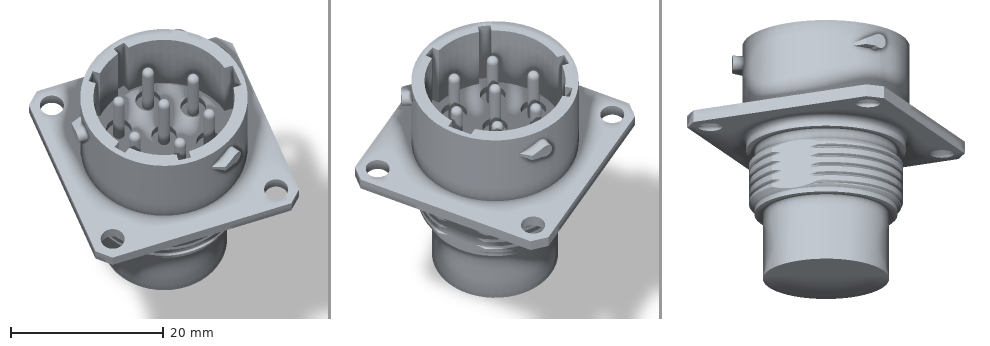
import cadquery as cq
import math

total_height = 32.2
flange_top = 20.83
flange_bottom = 19.2
collar_bottom = 17.7
thread_top = 16.45
thread_bottom = 9.63
ring_bottom = 8.95

shell_radius = 11.0
collar_radius = 10.5
collar_fillet = 0.65
neck_radius = 9.45
thread_radius = 10.15
tail_radius = 8.3

flange_side = 28.55
flange_corner_chamfer = 1.75
flange_hole_diameter = 3.15
flange_hole_spacing = 22.93

thread_turns = 6
thread_length = 7.63
thread_pitch = thread_length / thread_turns
groove_start = 9.25
groove_root_radius = 9.8
groove_root_width = 0.15
groove_mouth_width = 0.55
groove_overshoot = 0.15
flat_distance = 9.55

bore_radius = 9.27
socket_floor = 22.4
insert_top = 23.5
keyway_reach = 10.25
master_key_angle = 90.0
master_key_width = 3.35
small_key_angles = [195.0, 230.0, 305.0, 355.0]
small_key_width = 1.67

pin_radius = 0.77
centre_pin_tip = 31.33
outer_pin_tip = 30.5
pin_pocket_radius = 1.67
pin_circle_radius = 6.02
outer_pin_count = 6

lug_angles = [30.0, 150.0, 270.0]
lug_height = 29.6
lug_head_radius = 0.95
lug_outer_radius = 12.35
lug_inner_radius = 10.3
lug_tail_length = 2.93
lug_tail_below = 0.77
lug_tail_above = 0.35
lug_end_radius = 10.7
lug_end_slope = 60.0


def disc(radius, bottom, top):
    """Solid cylinder on the Z axis between two heights."""
    return cq.Workplane("XY").workplane(offset=bottom).circle(radius).extrude(top - bottom)


def make_turned_body():
    """Revolved outside, from the plain tail up to the rim of the shell."""
    thread_chamfer = thread_radius - neck_radius
    profile = (
        cq.Workplane("XZ")
        .lineTo(tail_radius, 0)
        .lineTo(tail_radius, ring_bottom)
        .lineTo(neck_radius, ring_bottom)
        .lineTo(neck_radius, thread_bottom)
        .lineTo(thread_radius, thread_bottom + thread_chamfer)
        .lineTo(thread_radius, thread_top - thread_chamfer)
        .lineTo(neck_radius, thread_top)
        .lineTo(neck_radius, collar_bottom)
        .lineTo(collar_radius, collar_bottom)
        .lineTo(collar_radius, flange_bottom - collar_fillet)
        .radiusArc((collar_radius + collar_fillet, flange_bottom), collar_fillet)
        .lineTo(collar_radius + collar_fillet, flange_top)
        .lineTo(shell_radius, flange_top)
        .lineTo(shell_radius, total_height)
        .lineTo(0, total_height)
        .close()
    )
    return profile.revolve(360, (0, 0, 0), (0, 1, 0)).rotate((0, 0, 0), (0, 0, 1), -90)


def make_flange():
    """Square mounting plate with cut corners and four holes."""
    return (
        cq.Workplane("XY")
        .workplane(offset=flange_bottom)
        .rect(flange_side, flange_side)
        .extrude(flange_top - flange_bottom)
        .edges("|Z")
        .chamfer(flange_corner_chamfer)
        .faces(">Z")
        .workplane()
        .rect(flange_hole_spacing, flange_hole_spacing, forConstruction=True)
        .vertices()
        .hole(flange_hole_diameter)
    )


def make_half_turn():
    """Half a turn of right-handed groove, running from -Y to +Y around the +X side."""
    depth = thread_radius - groove_root_radius
    flank_run = (groove_mouth_width - groove_root_width) / 2
    cut_radius = thread_radius + groove_overshoot
    cut_half_width = groove_mouth_width / 2 + flank_run * groove_overshoot / depth
    root_half_width = groove_root_width / 2
    helix = cq.Wire.makeHelix(thread_pitch, thread_pitch / 2, groove_root_radius)
    half_turn = (
        cq.Workplane("XZ")
        .moveTo(groove_root_radius, -root_half_width)
        .lineTo(cut_radius, -cut_half_width)
        .lineTo(cut_radius, cut_half_width)
        .lineTo(groove_root_radius, root_half_width)
        .close()
        .sweep(cq.Workplane(helix), isFrenet=True)
    )
    return half_turn.rotate((0, 0, 0), (0, 0, 1), -90)


def cut_thread_groove(body):
    """Cut the groove one half turn at a time; the halves meet in the open air over the flats."""
    half_turn = make_half_turn()
    for index in range(2 * thread_turns):
        height = groove_start + index * thread_pitch / 2
        body = body.cut(half_turn.rotate((0, 0, 0), (0, 0, 1), 180 * index).translate((0, 0, height)))
    return body


def make_thread_flats():
    """Two blocks that trim the thread flat on its -Y and +Y sides."""
    depth = thread_radius - flat_distance
    width = 2 * thread_radius
    blocks = cq.Workplane("XY")
    for side in (-1, 1):
        block = cq.Workplane("XY").box(width, depth, thread_top - thread_bottom)
        middle_y = side * (flat_distance + depth / 2)
        blocks = blocks.add(block.translate((0, middle_y, (thread_top + thread_bottom) / 2)))
    return blocks.combine()


def make_keyway(angle, width):
    """Square-sided slot in the bore wall, centred on the given angle."""
    return (
        cq.Workplane("XY")
        .workplane(offset=socket_floor)
        .center(keyway_reach / 2, 0)
        .rect(keyway_reach, width)
        .extrude(total_height - socket_floor)
        .rotate((0, 0, 0), (0, 0, 1), angle)
    )


def make_socket():
    """Open space of the socket: the bore with all its keyways, down to the floor."""
    socket = disc(bore_radius, socket_floor, total_height)
    socket = socket.union(make_keyway(master_key_angle, master_key_width))
    for angle in small_key_angles:
        socket = socket.union(make_keyway(angle, small_key_width))
    return socket


def make_pin(tip):
    """Contact pin on the Z axis with a hemispherical end at the tip height."""
    return (
        cq.Workplane("XZ")
        .moveTo(0, socket_floor)
        .lineTo(pin_radius, socket_floor)
        .lineTo(pin_radius, tip - pin_radius)
        .radiusArc((0, tip), -pin_radius)
        .close()
        .revolve(360, (0, 0, 0), (0, 1, 0))
    )


def make_insert():
    """Raised insert with a pocket and a round-ended pin at each contact; the centre pin is longer."""
    pocket = disc(pin_pocket_radius, socket_floor, insert_top)
    outer_pin = make_pin(outer_pin_tip)
    insert = disc(tail_radius, socket_floor, insert_top)
    insert = insert.cut(pocket).union(make_pin(centre_pin_tip))
    for index in range(outer_pin_count):
        angle = 2 * math.pi * index / outer_pin_count
        place = (pin_circle_radius * math.cos(angle), pin_circle_radius * math.sin(angle), 0)
        insert = insert.cut(pocket.translate(place)).union(outer_pin.translate(place))
    return insert


def make_lug():
    """Teardrop lug on the -Y side: round head, tail toward -X with a sloping end."""
    tip_distance = math.hypot(lug_tail_length, lug_tail_above)
    tip_direction = math.pi + math.atan2(lug_tail_above, lug_tail_length)
    touch_angle = tip_direction - math.acos(lug_head_radius / tip_distance)
    touch = (lug_head_radius * math.cos(touch_angle), lug_head_radius * math.sin(touch_angle))
    tail_meets_head = -math.sqrt(lug_head_radius**2 - lug_tail_below**2)
    teardrop = (
        cq.Workplane("XZ")
        .moveTo(tail_meets_head, -lug_tail_below)
        .lineTo(-lug_tail_length, -lug_tail_below)
        .lineTo(-lug_tail_length, -lug_tail_above)
        .lineTo(*touch)
        .threePointArc((lug_head_radius, 0), (tail_meets_head, -lug_tail_below))
        .close()
        .extrude(lug_outer_radius)
        .translate((0, 0, lug_height))
    )
    lug_bottom = lug_height - lug_head_radius
    lug_top = lug_height + lug_head_radius
    shell = disc(lug_outer_radius, lug_bottom, lug_top).cut(disc(lug_inner_radius, lug_bottom, lug_top))
    end_rise = lug_outer_radius - lug_end_radius
    end_run = end_rise / math.tan(math.radians(lug_end_slope))
    end_wedge = (
        cq.Workplane("XY")
        .workplane(offset=lug_bottom)
        .moveTo(-lug_tail_length, -lug_end_radius)
        .lineTo(-lug_tail_length + end_run, -lug_outer_radius)
        .lineTo(-lug_tail_length, -lug_outer_radius)
        .close()
        .extrude(lug_top - lug_bottom)
    )
    return teardrop.intersect(shell).cut(end_wedge)


body = make_turned_body()
body = body.cut(make_thread_flats())
body = cut_thread_groove(body)
body = body.union(make_flange())

front_lug_angle = 270.0
lug = make_lug()
for lug_angle in lug_angles:
    body = body.union(lug.rotate((0, 0, 0), (0, 0, 1), lug_angle - front_lug_angle))

body = body.cut(make_socket())
result = body.union(make_insert())